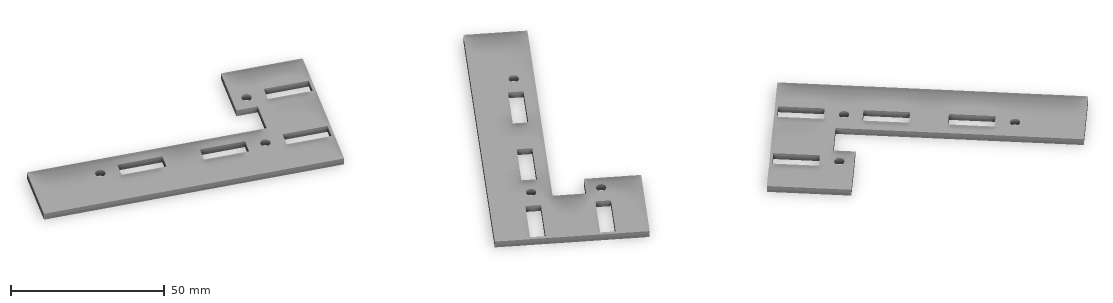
import cadquery as cq

width = 50.8
length = 101.6
thickness = 2.5

tab_width = 18.8
tab_length = 27.6
arm_width = 21.0
bridge_length = 20.4

left_column_x = 13.6
right_column_x = 36.6
row_pitch = 27.9
slot_width = 5.1
slot_length = 15.2
slot_edge_gap = 1.0
hole_diameter = 3.4
first_hole_y = -22.8

first_slot_y = -(slot_edge_gap + slot_length / 2)
arm_left_x = width - arm_width

slot_centers = [(left_column_x, first_slot_y)]
for row in range(3):
    slot_centers.append((right_column_x, first_slot_y - row * row_pitch))

hole_centers = [
    (left_column_x, first_hole_y),
    (right_column_x, first_hole_y),
    (right_column_x, first_hole_y - 2 * row_pitch),
]


def make_plate():
    """Flat plate with a short left leg and a long right leg."""
    outline = [
        (0, 0),
        (width, 0),
        (width, -length),
        (arm_left_x, -length),
        (arm_left_x, -bridge_length),
        (tab_width, -bridge_length),
        (tab_width, -tab_length),
        (0, -tab_length),
    ]
    return cq.Workplane("XY").polyline(outline).close().extrude(thickness)


def make_slots():
    """Cutters for the rectangular through slots."""
    return cq.Workplane("XY").pushPoints(slot_centers).rect(slot_width, slot_length).extrude(thickness)


def make_holes():
    """Cutters for the round through holes."""
    return cq.Workplane("XY").pushPoints(hole_centers).circle(hole_diameter / 2).extrude(thickness)


result = make_plate().cut(make_slots()).cut(make_holes())